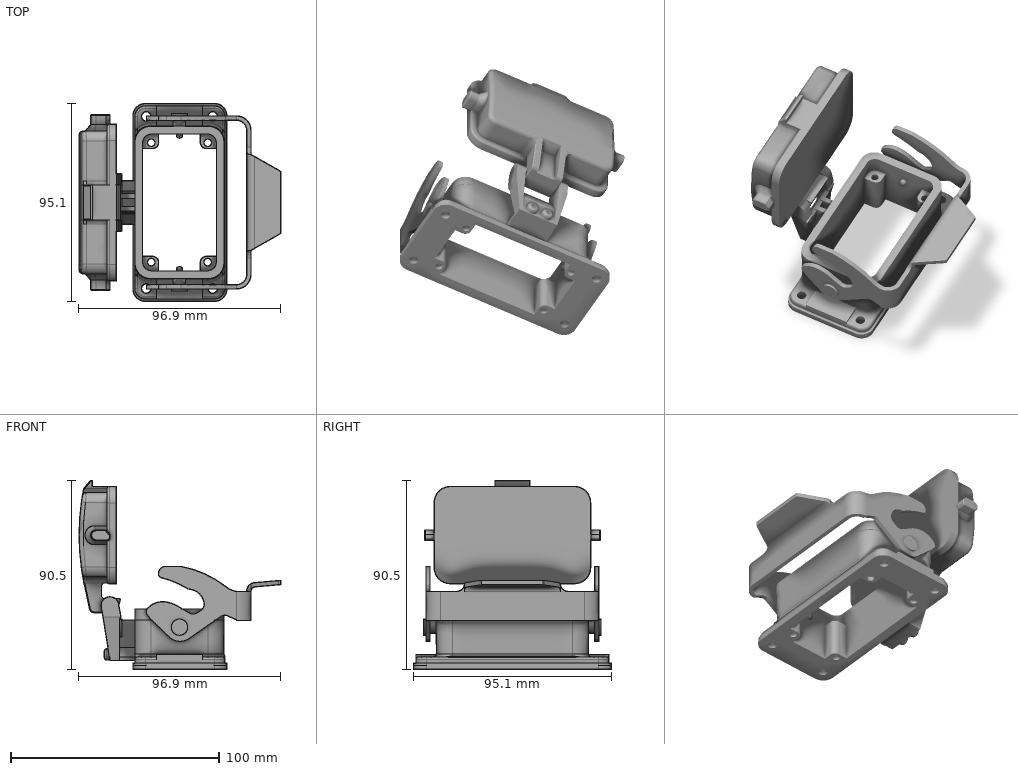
import cadquery as cq
import math

EPS = 0.01

BASE_X = 45.2
BASE_Y = 95.06
BASE_H = 3.0
BASE_CORNER_R = 6.1
GASKET_H = 1.7
GASKET_INSET_R = 0.2
STEP_INSET = 1.0
PAD_END_INSET = 0.2
PAD_TOP = 5.85
PAD_EDGE_R = 1.15
BLOCK_TOP = 7.1
BLOCK_X = 22.0
MOUNT_HOLE_D = 4.5
GASKET_HOLE_D = 4.42
MOUNT_HOLE_X = 15.95
MOUNT_HOLE_Y = 41.3

HOUSING_CX = -0.2
HOUSING_X = 42.8
HOUSING_Y = 73.2
HOUSING_H = 29.0
RIM_SEAM_Z = 23.7
RIM_CORNER_R = 7.1
WALL_CORNER_R = 7.8
WALL_DRAFT = 0.3
FOOT_FILLET_R = 1.55
OPENING_X = 35.4
OPENING_Y = 65.6
OPENING_CORNER_R = 4.3
LUG_X = 7.75
LUG_Y = 7.0
LUG_CORNER_R = 3.0
LUG_TOP = 20.0
LUG_HOLE_X = 13.55
LUG_HOLE_Y = 28.65
LUG_HOLE_D = 3.52

PIVOT_Z = 20.2
PIVOT_D = 6.0
PIVOT_HEAD_D = 7.8
PIVOT_HEAD_Y = 42.6
PIVOT_TAIL_D = 3.0
PIVOT_TAIL_LENGTH = 2.0
LEVER_Y = 41.55
SHEET_T = 2.12
STRAP_OUTER_X = 34.15
STRAP_BEND_R = 7.0
STRAP_START_X = STRAP_OUTER_X - STRAP_BEND_R
STRAP_BOTTOM = 23.35
STRAP_TOP = 37.4
TAB_END_X = 48.43
TAB_BEND_R = 2.1
TAB_SLOPE = math.radians(5)
TAB_ROOT_Y = 26.7
TAB_NECK_Y = 23.0
TAB_TIP_Y = 15.0
TAB_TIP_CHAMFER = 1.0

HINGE_X = -33.6
HINGE_Z = 30.7
HINGE_R = 4.1
HINGE_PIN_D = 4.5
CHEEK_Y = 13.85
CHEEK_TAPER_Z = 25.0
CHEEK_FOOT_Y = 10.25
CHANNEL_FRONT_Y = 9.15
CHANNEL_BACK_Y = 8.4
CHANNEL_SILL_Z = 23.1
BRACKET_BOTTOM = 4.1
BRACKET_BACK_X = -28.9
LEDGE_X = -27.8
LEDGE_BOTTOM = 14.6
LEDGE_TOP = 24.1
WEB_Y = 10.5
WEB_EDGE_Z = 5.8
WEB_RIDGE_Z = 10.4
WEB_RIDGE_Y = 5.5
WEB_TOP_Y = 4.2
WEB_SLOT_Y = 1.9

SCREW_Y = 4.0
SCREW_Z = 7.1
SCREW_HEAD_D = 5.5
SCREW_HEAD_H = 2.7
SCREW_HEAD_R = 1.2
SOCKET_CORE_D = 2.4
SOCKET_LOBE_D = 0.8
SOCKET_LOBES = 6
SOCKET_DEPTH = 1.2

COVER_BACK_X = -30.5
COVER_MID_Z = 64.4
COVER_APEX_X = -48.43
COVER_TOP_Z = 84.7
COVER_BOTTOM_Z = 44.4
DOME_R = 112.0
COVER_Y = 34.25
COVER_CORNER_R = 4.7
DOME_EDGE_R = 2.0
LIP_X = 4.4
LIP_Y = 37.6
LIP_TOP_Z = 87.75
LIP_BOTTOM_Z = 41.0
LIP_CORNER_R = 7.9
LIP_EDGE_R = 1.0
STRAP_HALF_Y = 8.4
STRAP_TOP_ROOT_R = 2.0
STRAP_BOTTOM_ROOT_R = 3.0
HOOK_TOP_Z = 90.52
HOOK_BASE_Z = 86.7
ARM_TOP_Z = 41.3
ARM_BOTTOM_Z = 27.1
ARM_CORNER_R = 2.4
STRAP_EDGE_CHAMFER = 0.4
ARM_GROOVE_HALF_Y = 4.9
ARM_GROOVE_X = -40.8
ARM_GROOVE_TOP = 46.7
ARM_GROOVE_END_Z = 44.7
EAR_Y = 42.2
EAR_R = 2.6
EAR_CX = -40.2
EAR_CZ = 64.3
EAR_TIP_X = -33.5
EAR_EDGE_CHAMFER = 0.4
FLARE_R = 4.55
FLARE_CX = -40.95
FLARE_END_X = -34.9
FLARE_END_Y = 37.3


def z_block(size_x, size_y, bottom, top, corner_r, center_x=0.0):
    """Upright block with rounded vertical corners."""
    block = cq.Workplane("XY").workplane(offset=bottom).center(center_x, 0)
    return block.rect(size_x, size_y).extrude(top - bottom).edges("|Z").fillet(corner_r)


def box(x_range, y_range, z_range):
    """Plain box given by its limits along each axis."""
    size = [high - low for low, high in (x_range, y_range, z_range)]
    corner = (x_range[0], y_range[0], z_range[0])
    return cq.Workplane("XY").box(*size, centered=False).translate(corner)


def y_prism(profile, y_low, y_high):
    """Extrude an XZ wire from y_low to y_high."""
    return profile.extrude(y_low - y_high).translate((0, y_low, 0))


def y_cylinder(diameter, x, z, y_low, y_high):
    return y_prism(cq.Workplane("XZ").center(x, z).circle(diameter / 2), y_low, y_high)


def both_sides(shape):
    """The shape together with its mirror image across the symmetry plane."""
    return shape.union(shape.mirror("XZ"))


def corner_points(x, y):
    return [(HOUSING_CX + sx * x, sy * y) for sx in (-1, 1) for sy in (-1, 1)]


def make_base():
    gasket = z_block(BASE_X, BASE_Y, 0, GASKET_H, BASE_CORNER_R)
    plate = z_block(BASE_X, BASE_Y, GASKET_H, BASE_H, BASE_CORNER_R + GASKET_INSET_R)
    pad_x = BASE_X - 2 * STEP_INSET
    pad_y = BASE_Y - 2 * (STEP_INSET + PAD_END_INSET)
    pad = z_block(pad_x, pad_y, BASE_H, PAD_TOP, BASE_CORNER_R - STEP_INSET)
    pad = pad.faces(">Z").edges().fillet(PAD_EDGE_R)
    block = box(
        (HOUSING_CX - BLOCK_X / 2, HOUSING_CX + BLOCK_X / 2),
        (-pad_y / 2, pad_y / 2),
        (BASE_H, BLOCK_TOP),
    )
    return gasket.union(plate).union(pad).union(block)


def make_foot_fillet():
    """Cove running round the housing where it meets the corner pads."""
    size_x = HOUSING_X + 2 * FOOT_FILLET_R
    size_y = HOUSING_Y + 2 * FOOT_FILLET_R
    corner_r = WALL_CORNER_R + FOOT_FILLET_R
    cove_top = PAD_TOP + FOOT_FILLET_R
    step = z_block(size_x, size_y, PAD_TOP, cove_top, corner_r, HOUSING_CX)
    path = z_block(size_x, size_y, cove_top, cove_top + 1, corner_r, HOUSING_CX).faces("<Z").wires()
    cutter = cq.Workplane("XZ").center(HOUSING_CX + size_x / 2, cove_top)
    cutter = cutter.circle(FOOT_FILLET_R).sweep(path)
    half = BASE_X / 2 - STEP_INSET
    keep = box((-half, half), (-BASE_Y / 2, BASE_Y / 2), (BASE_H, HOUSING_H))
    return step.cut(cutter).intersect(keep)


def make_housing():
    section = cq.Sketch().rect(HOUSING_X, HOUSING_Y).vertices().fillet(WALL_CORNER_R)
    wall = cq.Workplane("XY").workplane(offset=RIM_SEAM_Z).center(HOUSING_CX, 0).placeSketch(section)
    wall = wall.extrude(-RIM_SEAM_Z, taper=WALL_DRAFT)
    rim = z_block(HOUSING_X, HOUSING_Y, RIM_SEAM_Z, HOUSING_H, RIM_CORNER_R, HOUSING_CX)
    return wall.union(rim)


def make_opening():
    """Through opening of the housing, leaving a screw lug in each corner."""
    opening = z_block(OPENING_X, OPENING_Y, -EPS, HOUSING_H + EPS, OPENING_CORNER_R, HOUSING_CX)
    lug = z_block(2 * LUG_X, 2 * LUG_Y, -1, LUG_TOP, LUG_CORNER_R)
    for x, y in corner_points(OPENING_X / 2, OPENING_Y / 2):
        opening = opening.cut(lug.translate((x, y, 0)))
    return opening


def vertical_holes(points, diameter, bottom, top):
    holes = cq.Workplane("XY").workplane(offset=bottom).pushPoints(points)
    return holes.circle(diameter / 2).extrude(top - bottom)


def make_pivot():
    """Lever pivot on the +Y side, with its rounded tail inside the housing."""
    wall_in = OPENING_Y / 2
    shaft = y_cylinder(PIVOT_D, HOUSING_CX, PIVOT_Z, wall_in + 1, LEVER_Y)
    head = y_cylinder(PIVOT_HEAD_D, HOUSING_CX, PIVOT_Z, LEVER_Y - EPS, PIVOT_HEAD_Y)
    tail = y_cylinder(PIVOT_TAIL_D, HOUSING_CX, PIVOT_Z, wall_in - PIVOT_TAIL_LENGTH, wall_in + 1 + EPS)
    tail = tail.faces("<Y").edges().fillet(PIVOT_TAIL_D / 2 - 0.1)
    return shaft.union(head).union(tail)


def make_lever_plate():
    """Side plate of the lever: hook arm, throat, cam nose and pivot boss."""
    start = (STRAP_START_X, STRAP_TOP)
    outline = (
        cq.Workplane("XZ").moveTo(*start)
        .threePointArc((24.2, 38.3), (21.8, 39.9))
        .threePointArc((12.6, 45.5), (0.5, 49.4))
        .lineTo(-6.5, 49.4)
        .threePointArc((-9.3, 48.4), (-10.3, 46.1))
        .threePointArc((-10.1, 44.8), (-9.2, 44.0))
        .threePointArc((-2.6, 41.8), (3.9, 38.5))
        .lineTo(5.2, 38.3)
        .threePointArc((9.8, 35.7), (11.6, 31.3))
        .threePointArc((11.2, 29.6), (10.1, 28.3))
        .lineTo(7.8, 26.8)
        .threePointArc((6.4, 26.4), (4.7, 26.9))
        .lineTo(1.0, 29.0)
        .threePointArc((-3.2, 31.4), (-7.8, 32.5))
        .threePointArc((-12.5, 31.5), (-16.0, 28.7))
        .lineTo(-16.1, 26.7)
        .lineTo(-14.2, 24.2)
        .lineTo(-4.5, 14.9)
        .threePointArc((-0.2, 13.4), (3.9, 14.4))
        .lineTo(20.0, 25.6)
        .threePointArc((21.3, 25.9), (22.6, 25.7))
        .lineTo(STRAP_START_X, 23.7)
        .close()
    )
    return y_prism(outline, LEVER_Y - SHEET_T, LEVER_Y)


def make_strap():
    """Cross strap with its two rounded bends joining the lever plates."""
    length = 2 * STRAP_OUTER_X
    outer = z_block(length, 2 * LEVER_Y, STRAP_BOTTOM, STRAP_TOP, STRAP_BEND_R)
    inner = z_block(
        length - 2 * SHEET_T, 2 * (LEVER_Y - SHEET_T), STRAP_BOTTOM, STRAP_TOP, STRAP_BEND_R - SHEET_T
    )
    keep = box((STRAP_START_X - EPS, STRAP_OUTER_X), (-LEVER_Y, LEVER_Y), (STRAP_BOTTOM, STRAP_TOP))
    return outer.cut(inner).intersect(keep)


def make_tab():
    """Thumb tab bent outward from the top of the strap."""
    outer_r = TAB_BEND_R + SHEET_T
    center_x = STRAP_OUTER_X + TAB_BEND_R
    bend_z = STRAP_TOP

    def on_bend(radius, angle):
        return center_x - radius * math.cos(angle), bend_z + radius * math.sin(angle)

    sweep = math.pi / 2 - TAB_SLOPE
    top_start = on_bend(outer_r, sweep)
    low_start = on_bend(TAB_BEND_R, sweep)
    slope = math.tan(TAB_SLOPE)
    top_end_z = top_start[1] + slope * (TAB_END_X - top_start[0])
    low_end_z = low_start[1] + slope * (TAB_END_X - low_start[0])
    profile = (
        cq.Workplane("XZ").moveTo(STRAP_OUTER_X - SHEET_T, STRAP_TOP - 1)
        .lineTo(STRAP_OUTER_X - SHEET_T, bend_z)
        .threePointArc(on_bend(outer_r, sweep / 2), top_start)
        .lineTo(TAB_END_X, top_end_z)
        .lineTo(TAB_END_X, low_end_z)
        .lineTo(*low_start)
        .threePointArc(on_bend(TAB_BEND_R, sweep / 2), (STRAP_OUTER_X, bend_z))
        .lineTo(STRAP_OUTER_X, STRAP_TOP - 1)
        .close()
    )
    sheet = y_prism(profile, -TAB_ROOT_Y, TAB_ROOT_Y)
    root_x = STRAP_OUTER_X - SHEET_T
    plan = (
        cq.Workplane("XY").moveTo(root_x, -TAB_ROOT_Y)
        .lineTo(STRAP_OUTER_X, -TAB_ROOT_Y)
        .lineTo(STRAP_OUTER_X, -TAB_NECK_Y)
        .lineTo(TAB_END_X - TAB_TIP_CHAMFER, -TAB_TIP_Y - TAB_TIP_CHAMFER / 2)
        .lineTo(TAB_END_X, -TAB_TIP_Y + TAB_TIP_CHAMFER / 4)
        .lineTo(TAB_END_X, 0)
        .lineTo(root_x, 0)
        .close().extrude(HOUSING_H * 2)
    )
    flare = TAB_ROOT_Y - TAB_NECK_Y
    elevation = (
        cq.Workplane("YZ").moveTo(0, STRAP_TOP - 1)
        .lineTo(-TAB_ROOT_Y, STRAP_TOP - 1)
        .lineTo(-TAB_ROOT_Y, STRAP_TOP)
        .threePointArc(
            (-TAB_ROOT_Y + flare * math.sin(math.pi / 4), STRAP_TOP + flare * (1 - math.cos(math.pi / 4))),
            (-TAB_NECK_Y, STRAP_TOP + flare),
        )
        .lineTo(-TAB_NECK_Y, HOUSING_H * 2)
        .lineTo(0, HOUSING_H * 2)
        .close().extrude(TAB_END_X)
    )
    return sheet.intersect(both_sides(plan)).intersect(both_sides(elevation))


def make_bracket():
    """Hinge bracket: two cheeks, a front plate between them and a rear ledge."""
    side = (
        cq.Workplane("XZ").moveTo(HINGE_X - HINGE_R, HINGE_Z - 1)
        .threePointArc((HINGE_X, HINGE_Z + HINGE_R), (HINGE_X + HINGE_R, HINGE_Z + 1))
        .lineTo(-28.2, CHEEK_TAPER_Z)
        .lineTo(BRACKET_BACK_X, LEDGE_TOP)
        .lineTo(BRACKET_BACK_X, BRACKET_BOTTOM)
        .lineTo(-33.55, BRACKET_BOTTOM)
        .close()
    )
    blank = y_prism(side, -CHEEK_Y, CHEEK_Y)
    top = HINGE_Z + 2 * HINGE_R
    ledge = (
        cq.Workplane("YZ").workplane(offset=BRACKET_BACK_X - 1)
        .polyline([
            (-WEB_TOP_Y, LEDGE_BOTTOM), (-CHEEK_Y, LEDGE_TOP), (CHEEK_Y, LEDGE_TOP), (WEB_TOP_Y, LEDGE_BOTTOM),
        ])
        .close().extrude(LEDGE_X - BRACKET_BACK_X + 1)
    )
    elevation = (
        cq.Workplane("YZ")
        .polyline([
            (-CHEEK_FOOT_Y, BRACKET_BOTTOM), (-CHEEK_Y, CHEEK_TAPER_Z), (-CHEEK_Y, top),
            (CHEEK_Y, top), (CHEEK_Y, CHEEK_TAPER_Z), (CHEEK_FOOT_Y, BRACKET_BOTTOM),
        ])
        .close().extrude(2 * HINGE_X)
    )
    channel_side = (
        cq.Workplane("XZ")
        .polyline([
            (HINGE_X, 0), (HINGE_X, 15.0), (-32.6, 18.4), (-30.6, 21.7), (-29.9, CHANNEL_SILL_Z),
            (LEDGE_X, CHANNEL_SILL_Z), (LEDGE_X, top), (2 * HINGE_X, top), (2 * HINGE_X, 0),
        ])
        .close()
    )
    channel_plan = (
        cq.Workplane("XY")
        .polyline([
            (HINGE_X - HINGE_R, -CHANNEL_FRONT_Y), (LEDGE_X, -CHANNEL_BACK_Y),
            (LEDGE_X, CHANNEL_BACK_Y), (HINGE_X - HINGE_R, CHANNEL_FRONT_Y),
        ])
        .close().extrude(top)
    )
    channel = y_prism(channel_side, -CHEEK_Y, CHEEK_Y).intersect(channel_plan)
    pin = y_cylinder(HINGE_PIN_D, HINGE_X, HINGE_Z, -CHEEK_Y + 1, CHEEK_Y - 1)
    return blank.union(ledge).intersect(elevation).cut(channel).union(pin)


def make_web():
    """Ribbed web carrying the bracket on the housing wall."""
    half = [
        (WEB_Y, BRACKET_BOTTOM), (WEB_Y, WEB_EDGE_Z), (WEB_RIDGE_Y, WEB_RIDGE_Z),
        (WEB_TOP_Y, RIM_SEAM_Z), (WEB_SLOT_Y, RIM_SEAM_Z), (WEB_SLOT_Y, WEB_RIDGE_Z),
    ]
    outline = half + [(-y, z) for y, z in reversed(half)]
    length = HOUSING_CX - HOUSING_X / 2 - BRACKET_BACK_X + 1
    web = cq.Workplane("YZ").workplane(offset=BRACKET_BACK_X - EPS).polyline(outline).close()
    return web.extrude(length)


def make_screw(y):
    """Button-head screw with a six-lobed socket, facing -X."""
    tip = HINGE_X - SCREW_HEAD_H
    head = cq.Workplane("YZ").workplane(offset=tip).center(y, SCREW_Z)
    head = head.circle(SCREW_HEAD_D / 2).extrude(SCREW_HEAD_H + 1)
    head = head.faces("<X").edges().fillet(SCREW_HEAD_R)
    socket = cq.Workplane("YZ").workplane(offset=tip).center(y, SCREW_Z)
    core = socket.circle(SOCKET_CORE_D / 2).extrude(SOCKET_DEPTH)
    lobes = socket.polarArray(SOCKET_CORE_D / 2, 0, 360, SOCKET_LOBES)
    lobes = lobes.circle(SOCKET_LOBE_D / 2).extrude(SOCKET_DEPTH)
    return head.cut(core).cut(lobes)


def dome_point(z):
    """Point (x, z) on the domed front of the cover at height z."""
    return COVER_APEX_X + DOME_R - math.sqrt(DOME_R**2 - (z - COVER_MID_Z) ** 2), z


def make_cover_shell():
    """Domed cover with rounded corners."""
    side = (
        cq.Workplane("XZ").moveTo(*dome_point(COVER_BOTTOM_Z))
        .threePointArc((COVER_APEX_X, COVER_MID_Z), dome_point(COVER_TOP_Z))
        .lineTo(COVER_BACK_X, COVER_TOP_Z)
        .lineTo(COVER_BACK_X, COVER_BOTTOM_Z)
        .close()
    )
    shell = y_prism(side, -COVER_Y, COVER_Y).edges("|X").fillet(COVER_CORNER_R)
    return shell.faces("<X").edges().fillet(DOME_EDGE_R)


def make_cover_lip():
    height = LIP_TOP_Z - LIP_BOTTOM_Z
    lip = cq.Workplane("YZ").workplane(offset=COVER_BACK_X - LIP_X)
    lip = lip.center(0, (LIP_TOP_Z + LIP_BOTTOM_Z) / 2).rect(2 * LIP_Y, height).extrude(LIP_X)
    return lip.edges("|X").fillet(LIP_CORNER_R).faces("<X").edges().fillet(LIP_EDGE_R)


def make_cover_strap():
    """Central strap of the cover, ending in a catch at the top."""
    lip_x = COVER_BACK_X - 1
    side = (
        cq.Workplane("XZ").moveTo(*dome_point(ARM_TOP_Z))
        .threePointArc((COVER_APEX_X, COVER_MID_Z), dome_point(HOOK_BASE_Z))
        .lineTo(-43.0, HOOK_TOP_Z)
        .lineTo(-42.0, HOOK_TOP_Z)
        .lineTo(-42.0, LIP_TOP_Z)
        .lineTo(lip_x, LIP_TOP_Z)
        .lineTo(lip_x, ARM_TOP_Z)
        .close()
    )
    strap = y_prism(side, -STRAP_HALF_Y, STRAP_HALF_Y)
    catch_slope = cq.selectors.BoxSelector(
        (COVER_APEX_X, -COVER_Y, HOOK_BASE_Z), (-42.5, COVER_Y, HOOK_TOP_Z - EPS)
    )
    return strap.faces("<Y or >Y").edges(catch_slope).chamfer(STRAP_EDGE_CHAMFER)


def make_arm():
    """Hinge arm below the strap, running on tangent to the dome."""
    arm_top_x = dome_point(ARM_TOP_Z)[0]
    arm_tilt = math.asin((COVER_MID_Z - ARM_TOP_Z) / DOME_R)
    arm_low_x = arm_top_x + (ARM_TOP_Z - ARM_BOTTOM_Z) * math.tan(arm_tilt)
    side = (
        cq.Workplane("XZ").moveTo(arm_top_x, ARM_TOP_Z)
        .lineTo(-36.8, ARM_TOP_Z)
        .lineTo(-37.5, 40.6)
        .lineTo(-37.5, 34.8)
        .lineTo(-36.7, 34.0)
        .lineTo(-29.5, 34.0)
        .lineTo(-28.4, 33.7)
        .lineTo(-29.3, 30.9)
        .lineTo(-30.3, ARM_BOTTOM_Z)
        .lineTo(arm_low_x, ARM_BOTTOM_Z)
        .close()
    )
    arm = y_prism(side, -STRAP_HALF_Y, STRAP_HALF_Y)
    arm = arm.edges("|Y").edges("<Z").edges("<X").fillet(ARM_CORNER_R)
    outer_edges = cq.selectors.BoxSelector(
        (COVER_APEX_X, -COVER_Y, ARM_BOTTOM_Z + EPS), (-42.0, COVER_Y, ARM_TOP_Z - EPS)
    )
    return arm.faces("<Y or >Y").edges(outer_edges).chamfer(STRAP_EDGE_CHAMFER)


def make_arm_groove():
    """Groove along the hinge arm, with a sloping ceiling."""
    mouth_x, mouth_z = dome_point(ARM_GROOVE_TOP)
    side = (
        cq.Workplane("XZ")
        .polyline([
            (COVER_APEX_X, mouth_z), (mouth_x, mouth_z), (ARM_GROOVE_X, ARM_GROOVE_END_Z),
            (ARM_GROOVE_X, ARM_BOTTOM_Z - 1), (COVER_APEX_X, ARM_BOTTOM_Z - 1),
        ])
        .close()
    )
    return y_prism(side, -ARM_GROOVE_HALF_Y, ARM_GROOVE_HALF_Y)


def make_strap_roots():
    """Concave fillets between the strap sides and the cover's top and bottom walls."""
    roots = None
    start_x = dome_point(COVER_TOP_Z)[0] + 0.3
    walls = ((COVER_TOP_Z, 1, STRAP_TOP_ROOT_R), (COVER_BOTTOM_Z, -1, STRAP_BOTTOM_ROOT_R))
    for wall_z, direction, radius in walls:
        z_mid = wall_z + direction * radius
        y_mid = STRAP_HALF_Y + radius
        z_limits = (min(wall_z, z_mid), max(wall_z, z_mid))
        root = box((start_x, COVER_BACK_X - 1), (STRAP_HALF_Y, y_mid), z_limits)
        cove = cq.Workplane("YZ").workplane(offset=start_x).center(y_mid, z_mid)
        root = root.cut(cove.circle(radius).extrude(COVER_BACK_X - start_x))
        roots = root if roots is None else roots.union(root)
    return both_sides(roots)


def make_ear():
    """Locking ear on the +Y end of the cover, with a flared root."""
    bevel = (-35.5, EAR_CZ + EAR_R)
    outline = (
        cq.Workplane("XZ").moveTo(EAR_CX, EAR_CZ + EAR_R)
        .threePointArc((EAR_CX - EAR_R, EAR_CZ), (EAR_CX, EAR_CZ - EAR_R))
        .lineTo(EAR_TIP_X - 1, EAR_CZ - EAR_R)
        .lineTo(EAR_TIP_X, 62.6)
        .lineTo(EAR_TIP_X, 64.6)
        .lineTo(*bevel)
        .close()
    )
    ear = y_prism(outline, COVER_Y - 1, EAR_Y).faces(">Y").edges().chamfer(EAR_EDGE_CHAMFER)

    def rounded_end(y, center_x, radius):
        return (
            cq.Workplane("XZ", origin=(0, y, 0)).moveTo(center_x, EAR_CZ + radius)
            .threePointArc((center_x - radius, EAR_CZ), (center_x, EAR_CZ - radius))
            .lineTo(FLARE_END_X + EPS, EAR_CZ - radius)
            .lineTo(FLARE_END_X + EPS, EAR_CZ + radius)
            .close().wires().val()
        )

    flare = cq.Solid.makeLoft(
        [rounded_end(COVER_Y - EPS, FLARE_CX, FLARE_R), rounded_end(FLARE_END_Y, EAR_CX, EAR_R)], True
    )
    return ear.union(cq.Workplane(obj=flare))


def make_cover():
    cover = make_cover_shell().union(make_cover_lip())
    cover = cover.union(make_cover_strap()).union(make_arm()).union(make_strap_roots())
    return cover.cut(make_arm_groove()).union(both_sides(make_ear()))


base = make_base().union(make_housing()).union(make_foot_fillet()).cut(make_opening())
mount_points = corner_points(MOUNT_HOLE_X, MOUNT_HOLE_Y)
base = base.cut(vertical_holes(mount_points, MOUNT_HOLE_D, GASKET_H, HOUSING_H))
base = base.cut(vertical_holes(mount_points, GASKET_HOLE_D, -EPS, HOUSING_H))
base = base.cut(vertical_holes(corner_points(LUG_HOLE_X, LUG_HOLE_Y), LUG_HOLE_D, -EPS, HOUSING_H))

lever = both_sides(make_lever_plate()).union(make_strap()).union(make_tab())

bracket = make_bracket().union(make_web())
for screw_y in (-SCREW_Y, SCREW_Y):
    bracket = bracket.union(make_screw(screw_y))

result = base.union(both_sides(make_pivot())).union(lever).union(bracket).union(make_cover())